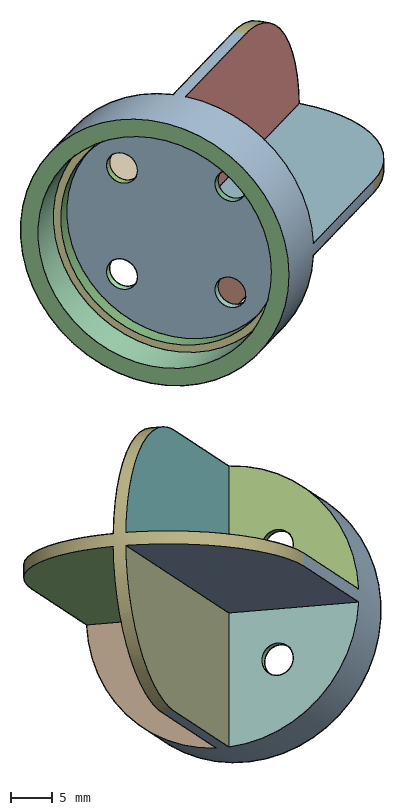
import cadquery as cq

length = 45.0
outer_diameter = 35.0
outer_radius = outer_diameter / 2
cup_length = 8.0
fin_thickness = 1.6

recess_diameter = 30.4
recess_depth = 5.0
step_diameter = 28.5
step_depth = 2.0

hole_diameter = 4.0
hole_circle_radius = 10.0
hole_count = 4
first_hole_angle = 45

open_end = -length / 2
cup_back = open_end + cup_length
dome_start = length / 2 - outer_radius


def cylinder_along_y(diameter, start, depth):
    """Cylinder on the part's axis, running from start toward +Y."""
    plane = cq.Workplane("XZ", origin=(0, start, 0))
    return plane.circle(diameter / 2).extrude(-depth)


def make_fins():
    """Two crossed plates trimmed to a round-ended cylinder."""
    fin_length = length - cup_length
    fin_center = (0, cup_back + fin_length / 2, 0)
    upright = cq.Workplane("XY").box(fin_thickness, fin_length, outer_diameter).translate(fin_center)
    level = cq.Workplane("XY").box(outer_diameter, fin_length, fin_thickness).translate(fin_center)
    dome = cq.Workplane("XY").sphere(outer_radius).translate((0, dome_start, 0))
    envelope = cylinder_along_y(outer_diameter, open_end, dome_start - open_end).union(dome)
    return upright.union(level).intersect(envelope)


def make_recess():
    """Wide recess with a slightly narrower step at its floor."""
    wide = cylinder_along_y(recess_diameter, open_end, recess_depth)
    narrow = cylinder_along_y(step_diameter, open_end + recess_depth, step_depth)
    return wide.union(narrow)


def make_holes():
    """Holes evenly spaced around the axis, passing through the cup floor."""
    return (
        cq.Workplane("XZ", origin=(0, open_end, 0))
        .polarArray(hole_circle_radius, first_hole_angle, 360, hole_count)
        .circle(hole_diameter / 2)
        .extrude(-cup_length)
    )


cup = cylinder_along_y(outer_diameter, open_end, cup_length)
result = cup.cut(make_recess()).cut(make_holes()).union(make_fins())